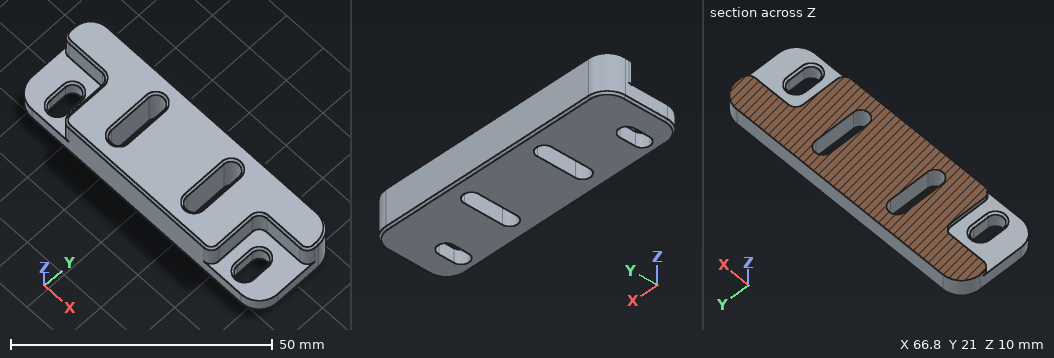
import cadquery as cq

length = 66.8
width = 21.0
height = 10.0
corner_radius = 5.0
chamfer = 0.5

ledge_height = 4.0
ledge_length = 13.0
ledge_width = 13.0
step_radius = 2.0

slot_width = 4.0
center_slot_length = 14.0
center_slot_x = 10.2
ledge_slot_length = 8.0
ledge_slot_x = 25.4
ledge_slot_y = -4.5
mouth_taper = 45.0


def make_base():
    """Full-footprint plate with a chamfered bottom edge."""
    plate = cq.Workplane("XY").box(length, width, ledge_height, centered=(True, True, False))
    return plate.edges("|Z").fillet(corner_radius).faces("<Z").edges().chamfer(chamfer)


def make_raised_block():
    """T-shaped upper body with rounded steps and a chamfered top edge."""
    half_length = length / 2
    half_width = width / 2
    stem_half_length = half_length - ledge_length
    step_y = ledge_width - half_width
    block = (
        cq.Workplane("XY")
        .workplane(offset=ledge_height)
        .moveTo(-half_length, half_width)
        .lineTo(half_length, half_width)
        .lineTo(half_length, step_y)
        .lineTo(stem_half_length, step_y)
        .lineTo(stem_half_length, -half_width)
        .lineTo(-stem_half_length, -half_width)
        .lineTo(-stem_half_length, step_y)
        .lineTo(-half_length, step_y)
        .close()
        .extrude(height - ledge_height)
    )
    block = block.edges("|Z and >Y").fillet(corner_radius)
    corners = [
        (side * x, y)
        for side in (-1, 1)
        for x, y in (
            (half_length, step_y),
            (stem_half_length, step_y),
            (stem_half_length, -half_width),
        )
    ]
    middle_z = (ledge_height + height) / 2
    for x, y in corners:
        nearest = cq.selectors.NearestToPointSelector((x, y, middle_z))
        block = block.edges("|Z").edges(nearest).fillet(step_radius)
    return block.faces(">Z").edges().chamfer(chamfer)


def slot_cutter(x, y, slot_length, top):
    """Through slot with a chamfered mouth at the given top height."""
    shaft = cq.Workplane("XY").center(x, y).slot2D(slot_length, slot_width, 90).extrude(top)
    mouth = (
        cq.Workplane("XY")
        .workplane(offset=top)
        .center(x, y)
        .slot2D(slot_length + 2 * chamfer, slot_width + 2 * chamfer, 90)
        .extrude(-chamfer, taper=mouth_taper)
    )
    return shaft.union(mouth)


result = make_base().union(make_raised_block())
for side in (-1, 1):
    result = result.cut(slot_cutter(side * center_slot_x, 0, center_slot_length, height))
    result = result.cut(slot_cutter(side * ledge_slot_x, ledge_slot_y, ledge_slot_length, ledge_height))